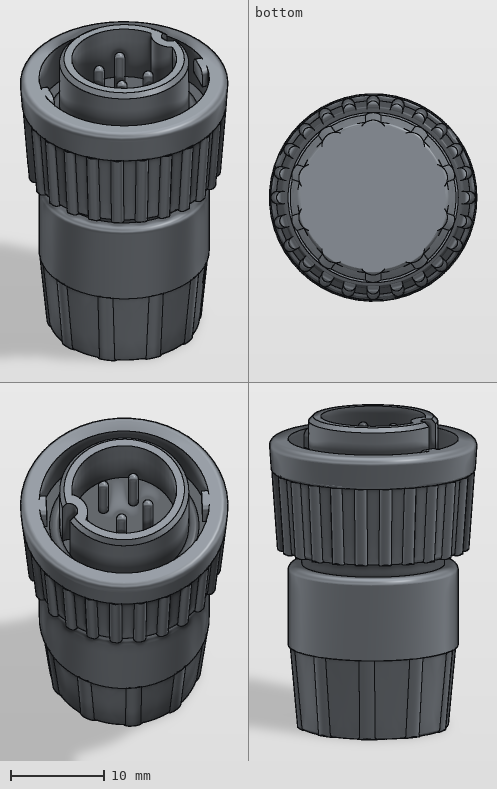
import cadquery as cq
import math

total_height = 33.72
grip_top = 8.8
body_top = 17.67
collar_bottom = 19.35
band_bottom = 27.82
collar_top = 31.25
socket_floor = 27.55
gap_floor = 26.7

first_rib_angle = -90
rib_end_round = 0.35
rib_end_clearance = 0.05

grip_bottom_radius = 8.05
grip_top_radius = 8.87
grip_rib_count = 10
grip_rib_radius = 1.52
grip_rib_height = 0.2
body_radius = 9.1
body_edge_round = 0.67
neck_radius = 7.65

band_top_radius = 11.15
band_bottom_radius = 10.93
band_edge_round = 0.75
band_underside_round = 0.3
collar_bottom_radius = 10.32
collar_rib_count = 24
collar_rib_radius = 0.67
collar_rib_height = 0.57
collar_bore_radius = 9.1

barrel_radius = 6.9
barrel_chamfer = 0.47
socket_radius = 5.6
key_wall_radius = 2.35
keyway_radius = 0.95
keyway_center = socket_radius + keyway_radius
seal_tube_radius = 0.75
seal_sink = 0.5
seal_half_width = math.sqrt(seal_tube_radius**2 - seal_sink**2)
seal_ring_radius = barrel_radius + seal_half_width

pin_radius = 0.55
pin_tip = 32.6
pin_positions = [(-2.33, 1.38), (2.33, 1.38), (-1.85, -1.92), (1.85, -1.92)]

lug_angles = (67.5, 247.5)
lug_width = 2.97
lug_height = 2.02
lug_edge_round = 0.8
lug_inner_distance = 8.33
lug_overlap = 0.35


def disc(radius, bottom, top):
    """Upright cylinder on the part axis."""
    return cq.Workplane("XY").workplane(offset=bottom).circle(radius).extrude(top - bottom)


def cone(bottom_radius, top_radius, bottom, top):
    """Upright frustum on the part axis."""
    outline = [(0, bottom), (bottom_radius, bottom), (top_radius, top), (0, top)]
    return cq.Workplane("XZ").polyline(outline).close().revolve(360, (0, 0), (0, 1))


def ribbed_cone(core_radii, rib_height, rib_radius, rib_count, bottom, top):
    """Frustum with round ribs standing rib_height above its side, all rounded at the lower end."""
    core_bottom, core_top = core_radii
    core = cone(core_bottom, core_top, bottom, top)
    core = core.faces("<Z").edges().fillet(rib_end_round)

    foot = cq.Vector(core_bottom + rib_height - rib_radius, 0, bottom)
    lean = cq.Vector(core_top - core_bottom, 0, top - bottom)
    rib = cq.Solid.makeCylinder(rib_radius, lean.Length + rib_radius, foot, lean)
    axis_start = cq.Vector(0, 0, 0)
    axis_end = cq.Vector(0, 0, 1)
    ribs = []
    for index in range(rib_count):
        angle = first_rib_angle + index * 360 / rib_count
        ribs.append(rib.rotate(axis_start, axis_end, angle))

    margin = rib_height + rib_end_clearance
    envelope = cone(core_bottom + margin, core_top + margin, bottom, top)
    envelope = envelope.faces("<Z").edges().fillet(rib_end_round)
    return cq.Workplane(core.val().fuse(*ribs)).intersect(envelope)


def make_grip():
    radii = (grip_bottom_radius, grip_top_radius)
    return ribbed_cone(radii, grip_rib_height, grip_rib_radius, grip_rib_count, 0, grip_top)


def make_body():
    body = disc(body_radius, grip_top, body_top).faces(">Z").edges().fillet(body_edge_round)
    return body.union(disc(neck_radius, body_top, collar_bottom))


def make_collar():
    radii = (collar_bottom_radius - collar_rib_height, band_bottom_radius - collar_rib_height)
    ribs = ribbed_cone(
        radii, collar_rib_height, collar_rib_radius, collar_rib_count, collar_bottom, band_bottom
    )
    band = cone(band_bottom_radius, band_top_radius, band_bottom, collar_top)
    band = band.faces(">Z").edges().fillet(band_edge_round)
    band = band.faces("<Z").edges().fillet(band_underside_round)
    return ribs.union(band).cut(disc(collar_bore_radius, gap_floor, collar_top))


def make_barrel():
    barrel = disc(barrel_radius, gap_floor, total_height).faces(">Z").edges().chamfer(barrel_chamfer)
    socket = disc(socket_radius, socket_floor, total_height)
    key_wall = disc(key_wall_radius, socket_floor, total_height).translate((0, barrel_radius, 0))
    keyway = disc(keyway_radius, gap_floor, total_height).translate((0, keyway_center, 0))
    keyway_mouth = (
        cq.Workplane("XY")
        .workplane(offset=gap_floor)
        .rect(2 * keyway_radius, 2 * keyway_radius)
        .extrude(total_height - gap_floor)
        .translate((0, keyway_center + keyway_radius, 0))
    )
    return barrel.cut(socket.cut(key_wall)).cut(keyway).cut(keyway_mouth)


def make_seal_ring():
    """Round ring around the barrel foot, partly sunk in the floor of the gap."""
    return (
        cq.Workplane("XZ")
        .center(seal_ring_radius, gap_floor - seal_sink)
        .circle(seal_tube_radius)
        .revolve(360, (-seal_ring_radius, 0), (-seal_ring_radius, 1))
    )


def make_pin(position):
    pin = disc(pin_radius, socket_floor, pin_tip - pin_radius)
    tip = cq.Workplane("XY").sphere(pin_radius).translate((0, 0, pin_tip - pin_radius))
    return pin.union(tip).translate((*position, 0))


def make_lug(angle):
    length = collar_bore_radius + lug_overlap - lug_inner_distance
    lug = (
        cq.Workplane("XY")
        .box(length, lug_width, lug_height, centered=(False, True, False))
        .edges("|X and >Z")
        .fillet(lug_edge_round)
        .translate((lug_inner_distance, 0, collar_top - lug_height))
    )
    return lug.rotate((0, 0, 0), (0, 0, 1), angle)


result = make_grip().union(make_body()).union(make_collar())
result = result.union(make_barrel()).union(make_seal_ring())
for pin_position in pin_positions:
    result = result.union(make_pin(pin_position))
for lug_angle in lug_angles:
    result = result.union(make_lug(lug_angle))